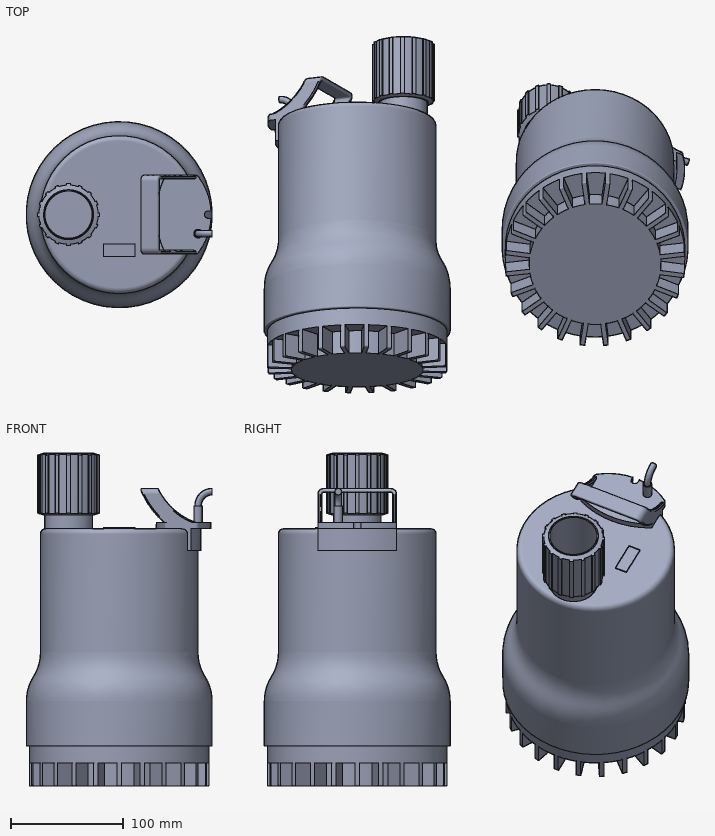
import cadquery as cq
import math

base_radius = 80.0
base_height = 35.5
rim_bottom_z = 20.5
hub_radius = 58.5
fin_count = 24
fin_width = 4.0
base_edge_fillet = 1.2

drum_radius = 82.73
drum_edge_fillet = 1.0
motor_radius = 70.2
shoulder_bottom_z = 75.5
shoulder_top_z = 119.0
housing_top_z = 228.8
housing_top_fillet = 4.7

outlet_x = -45.0
neck_radius = 21.3
connector_bottom_z = 241.0
connector_top_z = 296.0
connector_radius = 26.3
connector_rib_radius = 27.5
connector_rib_width = 3.3
connector_rib_count = 16
connector_end_radius = 22.2
connector_end_slope_height = 1.8
bore_radius = 21.0

handle_width = 70.2
plate_thickness = 5.5
plate_left_x = 33.0
plate_left_radius = 77.0
plate_right_x = 81.7
plate_right_radius = 56.2
plate_right_fillet = 3.5
plate_left_fillet = 1.5
notch_x = 79.0
notch_radius = 3.3
skirt_radius = 72.8
skirt_bottom_z = 209.3
strap_thickness = 3.5
strap_top_z = 264.5
strap_corner_radius = 5.3
strap_edge_fillet = 1.2
edge_search_margin = 0.3
strap_back_top_x = 18.5
strap_back_middle = (28.0, 247.2)
strap_back_foot_x = 40.0
strap_front_top_x = 34.5
strap_front_middle = (49.0, 245.5)
strap_front_foot_x = 68.0

cable_x = 70.2
cable_y = -17.0
cable_radius = 3.0
cable_bend_radius = drum_radius - cable_x
sleeve_radius = 3.8
sleeve_height = 14.8

name_plate_length = 27.8
name_plate_width = 11.0
name_plate_thickness = 1.0
name_plate_y = -31.7

plate_top_z = housing_top_z + plate_thickness
sleeve_top_z = plate_top_z + sleeve_height


def cylinder(radius, bottom_z, top_z, x=0.0, y=0.0):
    return cq.Workplane("XY", origin=(x, y, bottom_z)).circle(radius).extrude(top_z - bottom_z)


def make_base():
    rim = cylinder(base_radius, rim_bottom_z, base_height)
    hub = cylinder(hub_radius, 0, rim_bottom_z)
    fins = (
        cq.Workplane("XY")
        .polarArray(base_radius / 2, 0, 360, fin_count)
        .rect(base_radius + fin_width, fin_width)
        .extrude(rim_bottom_z)
    )
    envelope = cylinder(base_radius, 0, rim_bottom_z).faces("<Z").edges().fillet(base_edge_fillet)
    return rim.union(hub).union(fins.intersect(envelope))


def make_housing():
    half_step = (drum_radius - motor_radius) / 2
    half_height = (shoulder_top_z - shoulder_bottom_z) / 2
    turn = 2 * math.atan(half_step / half_height)
    arc_radius = half_height / math.sin(turn)
    arc_rise = arc_radius * math.sin(turn / 2)
    arc_inset = arc_radius * (1 - math.cos(turn / 2))
    middle = (motor_radius + half_step, shoulder_bottom_z + half_height)
    profile = (
        cq.Workplane("XZ")
        .moveTo(0, base_height)
        .lineTo(drum_radius, base_height)
        .lineTo(drum_radius, shoulder_bottom_z)
        .threePointArc((drum_radius - arc_inset, shoulder_bottom_z + arc_rise), middle)
        .threePointArc((motor_radius + arc_inset, shoulder_top_z - arc_rise), (motor_radius, shoulder_top_z))
        .lineTo(motor_radius, housing_top_z)
        .lineTo(0, housing_top_z)
        .close()
    )
    body = profile.revolve(360, (0, 0, 0), (0, 1, 0))
    body = body.faces(">Z").edges().fillet(housing_top_fillet)
    return body.faces("<Z").edges().fillet(drum_edge_fillet)


def make_neck(housing):
    neck = cylinder(neck_radius, housing_top_z - housing_top_fillet, connector_bottom_z, outlet_x)
    return neck.cut(housing)


def make_connector():
    height = connector_top_z - connector_bottom_z
    barrel = cq.Workplane("XY").circle(connector_radius).extrude(height)
    ribs = (
        cq.Workplane("XY")
        .polarArray(connector_rib_radius / 2, 0, 360, connector_rib_count)
        .rect(connector_rib_radius + connector_rib_width, connector_rib_width)
        .extrude(height)
    )
    envelope = (
        cq.Workplane("XZ")
        .moveTo(0, 0)
        .lineTo(connector_end_radius, 0)
        .lineTo(connector_rib_radius, connector_end_slope_height)
        .lineTo(connector_rib_radius, height - connector_end_slope_height)
        .lineTo(connector_end_radius, height)
        .lineTo(0, height)
        .close()
        .revolve(360, (0, 0, 0), (0, 1, 0))
    )
    bore = cq.Workplane("XY").circle(bore_radius).extrude(height)
    connector = barrel.union(ribs).intersect(envelope).cut(bore)
    return connector.translate((outlet_x, 0, connector_bottom_z))


def make_plate():
    half_width = handle_width / 2
    left_end_x = plate_left_x + plate_left_radius - math.sqrt(plate_left_radius**2 - half_width**2)
    right_end_x = plate_right_x - plate_right_radius + math.sqrt(plate_right_radius**2 - half_width**2)
    base_plane = cq.Workplane("XY", origin=(0, 0, housing_top_z))
    plate = (
        base_plane.moveTo(left_end_x, -half_width)
        .lineTo(right_end_x, -half_width)
        .threePointArc((plate_right_x, 0), (right_end_x, half_width))
        .lineTo(left_end_x, half_width)
        .threePointArc((plate_left_x, 0), (left_end_x, -half_width))
        .close()
        .extrude(plate_thickness)
    )
    plate = plate.edges("|Z").edges(">X").fillet(plate_right_fillet)
    plate = plate.edges("|Z").edges("<X").fillet(plate_left_fillet)
    notch_length = plate_right_x - notch_x
    notch_end = base_plane.center(notch_x, 0).circle(notch_radius).extrude(plate_thickness)
    notch_mouth = (
        base_plane.center(notch_x + notch_length / 2, 0)
        .rect(notch_length, 2 * notch_radius)
        .extrude(plate_thickness)
    )
    return plate.cut(notch_end).cut(notch_mouth)


def make_skirt(housing):
    slab_height = housing_top_z - skirt_bottom_z
    slab = (
        cq.Workplane("XY", origin=(skirt_radius / 2, 0, skirt_bottom_z))
        .rect(skirt_radius, handle_width)
        .extrude(slab_height)
    )
    return slab.intersect(cylinder(skirt_radius, skirt_bottom_z, housing_top_z)).cut(housing)


def make_strap():
    block = (
        cq.Workplane("XZ")
        .moveTo(strap_back_top_x, strap_top_z)
        .threePointArc(strap_back_middle, (strap_back_foot_x, plate_top_z))
        .lineTo(strap_front_foot_x, plate_top_z)
        .threePointArc(strap_front_middle, (strap_front_top_x, strap_top_z))
        .close()
        .extrude(handle_width / 2, both=True)
    )
    block = block.edges("|X and >Z").fillet(strap_corner_radius)
    block = block.edges("|Y and >Z").fillet(strap_edge_fillet)
    opening_height = strap_top_z - strap_thickness - plate_top_z
    opening = (
        cq.Workplane("YZ", origin=(0, 0, plate_top_z + opening_height / 2))
        .rect(handle_width - 2 * strap_thickness, opening_height)
        .extrude(drum_radius)
        .edges("|X and >Z")
        .fillet(strap_corner_radius - strap_thickness)
    )
    strap = block.cut(opening)
    inner_bar_z = strap_top_z - strap_thickness
    inner_bar_edges = cq.selectors.BoxSelector(
        (0, -handle_width / 4, inner_bar_z - edge_search_margin),
        (drum_radius, handle_width / 4, inner_bar_z + edge_search_margin),
    )
    return strap.edges(inner_bar_edges).edges("|Y").fillet(strap_edge_fillet)


def make_handle(housing):
    return make_plate().union(make_skirt(housing)).union(make_strap())


def make_sleeve():
    return cylinder(sleeve_radius, plate_top_z, sleeve_top_z, cable_x, cable_y)


def make_cable():
    path_start = cq.Workplane("XZ", origin=(cable_x, cable_y, sleeve_top_z))
    bend = path_start.radiusArc((cable_bend_radius, cable_bend_radius), cable_bend_radius)
    section = cq.Workplane("XY", origin=(cable_x, cable_y, sleeve_top_z)).circle(cable_radius)
    return section.sweep(bend)


def make_name_plate():
    return (
        cq.Workplane("XY", origin=(0, name_plate_y, housing_top_z))
        .rect(name_plate_length, name_plate_width)
        .extrude(name_plate_thickness)
    )


base = make_base()
housing = make_housing()
neck = make_neck(housing)
connector = make_connector()
handle = make_handle(housing)
sleeve = make_sleeve()
cable = make_cable()
name_plate = make_name_plate()

result = cq.Compound.makeCompound(
    [
        base.val(),
        housing.val(),
        neck.val(),
        connector.val(),
        handle.val(),
        sleeve.val(),
        cable.val(),
        name_plate.val(),
    ]
)